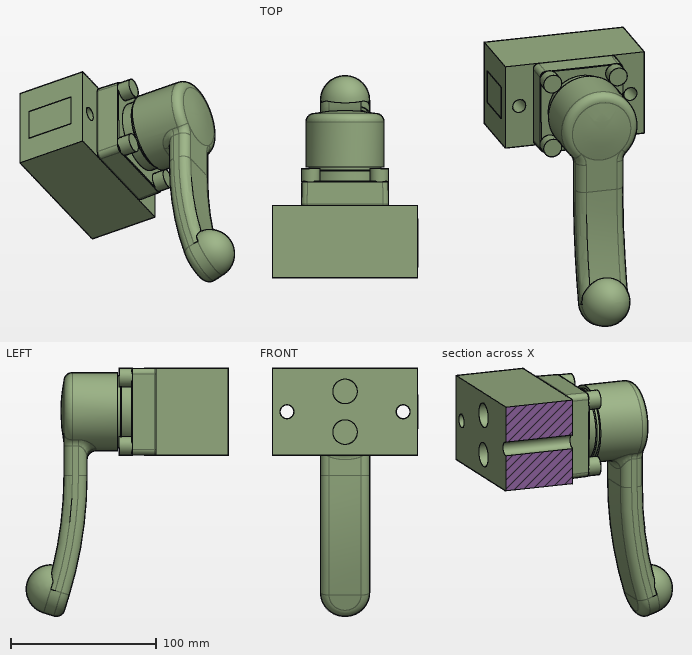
import cadquery as cq
import math


BLOCK_WIDTH = 100.0
BLOCK_DEPTH = 50.0
BLOCK_HEIGHT = 60.0
PORT_DIAMETER = 17.0
PORT_DEPTH = 10.5
PORT_SPACING = 28.0
MOUNT_HOLE_DIAMETER = 9.4
MOUNT_HOLE_SPACING = 80.0
LABEL_WIDTH = 33.3
LABEL_HEIGHT = 23.1
LABEL_THICKNESS = 0.25
LABEL_JOINT_GAP = 9.2

BASE_SIZE = 60.2
BASE_DEPTH = 16.8
BASE_DRAFT = 1.0
BASE_CORNER_RADIUS = 4.0
BASE_LIP_LENGTH = 0.9
BASE_LIP_INSET = 0.2
BASE_TOP_CHAMFER = 0.7
BOSS_DIAMETER = 13.0
BOSS_TOP_Y = 25.3

CORE_RADIUS = 24.3
COLLAR_RADIUS = 25.0
COLLAR_CONE_START_Y = 23.8
COLLAR_CONE_LENGTH = COLLAR_RADIUS - CORE_RADIUS

KNOB_RADIUS = 27.0
KNOB_BOTTOM_Y = 26.3
KNOB_TOP_Y = 63.5
DOME_HEIGHT = 2.0

LEVER_WIDTH = 34.0
LEVER_THICKNESS = 16.0
LEVER_BEND_Z = -43.8
LEVER_BEND_RADIUS = 282.2
LEVER_BEND_ANGLE = 17
EDGE_RADIUS = 6.0
BALL_CENTRE_HEIGHT = 13.3

DOME_RADIUS = KNOB_RADIUS - EDGE_RADIUS
LEVER_FRONT_Y = KNOB_TOP_Y - LEVER_THICKNESS
BEND_CENTRE_Y = LEVER_FRONT_Y + LEVER_BEND_RADIUS
BOSS_OFFSET = (BASE_SIZE - BOSS_DIAMETER) / 2


def facing_back(y):
    """Workplane across the knob axis at height y, normal to +Y, local x = -X, local y = Z."""
    return cq.Workplane(cq.Plane(origin=(0, y, 0), xDir=(-1, 0, 0), normal=(0, 1, 0)))


def rod(radius, y_start, y_end):
    """Cylinder on the knob axis."""
    return facing_back(y_start).circle(radius).extrude(y_end - y_start)


def bend_point(radius, angle):
    """(Y, Z) of a point on the lever bend, with the angle measured from the start of the bend."""
    turn = math.radians(angle)
    return BEND_CENTRE_Y - radius * math.cos(turn), LEVER_BEND_Z - radius * math.sin(turn)


def make_block():
    body = facing_back(-BLOCK_DEPTH).rect(BLOCK_WIDTH, BLOCK_HEIGHT).extrude(BLOCK_DEPTH)

    ports = (
        facing_back(-BLOCK_DEPTH)
        .rarray(1.7, PORT_SPACING, 1, 2)
        .circle(PORT_DIAMETER / 2)
        .extrude(PORT_DEPTH)
    )
    mount_holes = (
        facing_back(-BLOCK_DEPTH)
        .rarray(MOUNT_HOLE_SPACING, 1.7, 2, 1)
        .circle(MOUNT_HOLE_DIAMETER / 2)
        .extrude(BLOCK_DEPTH)
    )
    label = (
        cq.Workplane("YZ", origin=(BLOCK_WIDTH / 2, -LABEL_JOINT_GAP - LABEL_WIDTH / 2, 0))
        .rect(LABEL_WIDTH, LABEL_HEIGHT)
        .extrude(LABEL_THICKNESS)
    )
    return body.cut(ports).cut(mount_holes).union(label)


def rounded_loft(y_start, size_start, y_end, size_end):
    """Square block with rounded corners, tapering along the knob axis."""
    outline_start = cq.Sketch().rect(size_start, size_start).vertices().fillet(BASE_CORNER_RADIUS)
    outline_end = cq.Sketch().rect(size_end, size_end).vertices().fillet(BASE_CORNER_RADIUS)
    outline_end = outline_end.moved(cq.Location(cq.Vector(0, 0, y_end - y_start)))
    return facing_back(y_start).placeSketch(outline_start, outline_end).loft()


def make_base():
    shrink = 2 * (BASE_DEPTH - BASE_LIP_LENGTH) * math.tan(math.radians(BASE_DRAFT))
    lip = rounded_loft(0, BASE_SIZE - 2 * BASE_LIP_INSET, BASE_LIP_LENGTH, BASE_SIZE)
    drafted = rounded_loft(BASE_LIP_LENGTH, BASE_SIZE, BASE_DEPTH, BASE_SIZE - shrink)
    drafted = drafted.faces(">Y").chamfer(BASE_TOP_CHAMFER)
    base = lip.union(drafted)
    boss_start_y = BASE_DEPTH - BASE_TOP_CHAMFER
    bosses = (
        facing_back(boss_start_y)
        .rarray(2 * BOSS_OFFSET, 2 * BOSS_OFFSET, 2, 2)
        .circle(BOSS_DIAMETER / 2)
        .extrude(BOSS_TOP_Y - boss_start_y)
    )
    return base.union(bosses)


def make_neck():
    cone = (
        facing_back(COLLAR_CONE_START_Y)
        .circle(CORE_RADIUS)
        .workplane(offset=COLLAR_CONE_LENGTH)
        .circle(COLLAR_RADIUS)
        .loft()
    )
    core = rod(CORE_RADIUS, BASE_DEPTH, COLLAR_CONE_START_Y)
    collar = rod(COLLAR_RADIUS, COLLAR_CONE_START_Y + COLLAR_CONE_LENGTH, KNOB_BOTTOM_Y)
    return core.union(cone).union(collar)


def lever_end_plane():
    """Plane on the front face at the end of the bend, normal to the lever, local y up the lever."""
    y, z = bend_point(LEVER_BEND_RADIUS, LEVER_BEND_ANGLE)
    turn = math.radians(LEVER_BEND_ANGLE)
    return cq.Plane(origin=(0, y, z), xDir=(-1, 0, 0), normal=(0, math.cos(turn), math.sin(turn)))


def half_disc(height):
    """Rounded lever tip, rising from the front face."""
    radius = LEVER_WIDTH / 2
    return (
        cq.Workplane(lever_end_plane())
        .moveTo(-radius, 0)
        .threePointArc((0, -radius), (radius, 0))
        .close()
        .extrude(height)
    )


def make_lever_blank():
    back_radius = LEVER_BEND_RADIUS - LEVER_THICKNESS
    bar = (
        cq.Workplane("YZ")
        .moveTo(LEVER_FRONT_Y, 0)
        .lineTo(LEVER_FRONT_Y, LEVER_BEND_Z)
        .threePointArc(
            bend_point(LEVER_BEND_RADIUS, LEVER_BEND_ANGLE / 2),
            bend_point(LEVER_BEND_RADIUS, LEVER_BEND_ANGLE),
        )
        .lineTo(*bend_point(back_radius, LEVER_BEND_ANGLE))
        .threePointArc(bend_point(back_radius, LEVER_BEND_ANGLE / 2), (KNOB_TOP_Y, LEVER_BEND_Z))
        .lineTo(KNOB_TOP_Y, 0)
        .close()
        .extrude(LEVER_WIDTH / 2, both=True)
    )
    return bar.union(half_disc(LEVER_THICKNESS))


def bottom_of_tip():
    """Middle of the outer front edge of the lever tip, before rounding."""
    return lever_end_plane().toWorldCoords((0, -LEVER_WIDTH / 2, 0)).toTuple()


def make_ball():
    """Half ball on the back of the lever tip, carried by a half disc flush with the tip."""
    equator = cq.Workplane(lever_end_plane()).workplane(offset=BALL_CENTRE_HEIGHT)
    ball = equator.sphere(LEVER_WIDTH / 2, angle1=0)
    seat = half_disc(BALL_CENTRE_HEIGHT).cut(half_disc(EDGE_RADIUS))
    return ball.union(seat)


def dome_midpoint():
    """(height, radius) of a point halfway along the dome profile."""
    sphere_radius = (DOME_RADIUS**2 + DOME_HEIGHT**2) / (2 * DOME_HEIGHT)
    half_angle = math.asin(DOME_RADIUS / sphere_radius) / 2
    height = DOME_HEIGHT - sphere_radius * (1 - math.cos(half_angle))
    return height, sphere_radius * math.sin(half_angle)


def make_dome():
    """Shallow spherical cap on the back of the knob."""
    return (
        cq.Workplane("YZ", origin=(0, KNOB_TOP_Y, 0))
        .lineTo(DOME_HEIGHT, 0)
        .threePointArc(dome_midpoint(), (0, DOME_RADIUS))
        .close()
        .revolve(360, (0, 0), (1, 0))
    )


def make_handle():
    handle = rod(KNOB_RADIUS, KNOB_BOTTOM_Y, KNOB_TOP_Y).union(make_lever_blank())

    tip_front_edge = cq.selectors.NearestToPointSelector(bottom_of_tip())
    handle = handle.edges(tip_front_edge).fillet(EDGE_RADIUS)
    junction = cq.selectors.NearestToPointSelector((0, LEVER_FRONT_Y, -KNOB_RADIUS))
    handle = handle.edges(junction).fillet(EDGE_RADIUS)
    knob_rim = cq.selectors.NearestToPointSelector((0, KNOB_TOP_Y, KNOB_RADIUS / 2))
    handle = handle.edges(knob_rim).fillet(EDGE_RADIUS)
    return handle.union(make_ball()).union(make_dome())


block = make_block()
handle = make_handle()
valve = make_base().union(make_neck()).union(handle)
result = cq.Compound.makeCompound([block.solids().val(), valve.solids().val()])